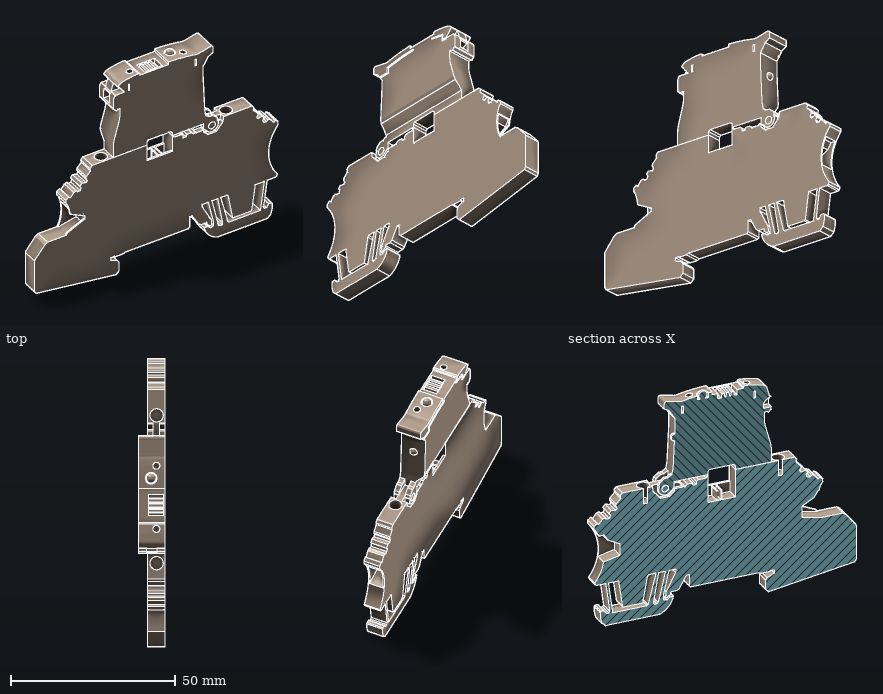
import cadquery as cq

HOUSING_WIDTH = 5.35
MODULE_OVERHANG = 2.7
DECK_Z = 44.5
CROWN_MID_Y = 5.6
END_Y = 43.9
FOOT_TOP = 14.4

ENTRY_SKIN = 0.4
ENTRY_BOTTOM, ENTRY_TOP = 21.85, 31.15
ENTRY_DEPTH = 5.3
FRONT_ARC_Y, REAR_ARC_Y = -31.1, 40.4
SCREW_HOLE_X = 2.8
SCREW_HOLE_Y = (26.6, -18.4)
SCREW_HOLE_RADIUS = 2.0
SCREW_HOLE_DEPTH = 5.3

HINGE_Y, HINGE_Z = 20.0, 42.8
HINGE_PIN_RADIUS = 1.2
LUG_RADIUS = 2.3
TONGUE_X0, TONGUE_X1 = 1.7, 3.7

WINDOW_Y0, WINDOW_Y1 = -3.3, 5.7
WINDOW_BOTTOM, WINDOW_TOP = 38.6, 46.15
WINDOW_CORNER = 0.5
WELL_FLOOR = 35.1
WELL_X0, WELL_X1 = 0.7, 4.65
WELL_RIB_TOP = 38.25
WELL_RIB_Y = (2.5, 1.05)
WELL_RIB_THICKNESS = 0.35

LED_X, LED_Y, LED_Z, LED_RADIUS = 1.1, 7.5, 72.2, 1.5
LED_HOLE_RADIUS = 1.75
LED_HOLE_FLOOR = 71.1
BUTTON_Y, BUTTON_Z, BUTTON_RADIUS = 16.85, 59.75, 1.2
TEST_HOLE_X = 2.7
TEST_HOLE_Y = (11.2, -8.0)
TEST_HOLE_RADIUS = 1.05
TEST_HOLE_DEPTH = 3.5
MODULE_TOP = 72.8
SWITCH_X0, SWITCH_X1 = 0.35, 4.8
SWITCH_Y0, SWITCH_Y1 = -3.9, 2.5
SWITCH_TOP = 71.8
SWITCH_DEPTH = 1.75
SWITCH_RIB_HEIGHT = 1.4
SWITCH_RIB_TOP_WIDTH, SWITCH_RIB_BASE_WIDTH = 0.9, 1.4
SWITCH_RIB_Y = (0.7, -0.9, -2.5)
LATCH_X0, LATCH_X1 = -0.3, 2.9
LATCH_CLEAR_Y = -15.8
COVER_LINE_Z = 67.55
SEAM_HEIGHT = 0.3
SEAM_DEPTH = 0.3
SLOT_TOP = 69.75


def plate(points, x0, x1):
    """Closed straight-sided YZ outline, extruded from x0 to x1."""
    return cq.Workplane("YZ", origin=(x0, 0, 0)).polyline(points).close().extrude(x1 - x0)


def block(x0, x1, y0, y1, z0, z1):
    """Box between pairs of X, Y and Z limits."""
    return cq.Workplane("XY").box(x1 - x0, y1 - y0, z1 - z0, centered=False).translate((x0, y0, z0))


def disc(y, z, radius, x0, x1):
    """Cylinder along X."""
    return cq.Workplane("YZ", origin=(x0, 0, 0)).center(y, z).circle(radius).extrude(x1 - x0)


def top_hole(x, y, radius, top, depth):
    """Vertical cylinder that reaches down from the given top."""
    return cq.Workplane("XY", origin=(x, y, top - depth)).circle(radius).extrude(depth)


SHOULDER = [
    (28.8, DECK_Z), (29.6, 43.6), (29.3, 42.6), (30.9, 41.1), (31.1, 40.5), (30.5, 39.5),
    (31.0, 38.9), (32.5, 39.2), (33.25, 38.3), (32.7, 37.6), (33.1, 36.7), (34.0, 36.6), (34.5, 37.1),
    (35.35, 36.85), (36.7, 35.3), (37.2, 35.8), (38.25, 35.0), (38.25, 33.95),
]


def housing_plate():
    """Side outline of the housing extruded over its width."""
    rear_shoulder = [(CROWN_MID_Y + d, z) for d, z in SHOULDER]
    front_shoulder = [(CROWN_MID_Y - d, z) for d, z in reversed(SHOULDER)]
    rail_foot = [
        (43.3, 14.65), (42.8, FOOT_TOP), (39.9, FOOT_TOP), (38.6, 4.8), (38.9, 4.2), (39.65, 4.2), (40.4, 5.35),
        (41.5, 5.35), (41.8, 5.0), (41.8, 3.25), (41.2, 1.1), (39.9, 0), (21.85, 0),
    ]
    foot_hook = [
        (17.2, 5.35), (18.4, 5.35), (19.5, 4.5), (20.5, 4.8), (20.5, 6.4), (18.7, FOOT_TOP), (16.6, FOOT_TOP),
        (16.6, 13.3),
    ]
    stop_finger = [
        (19.7, 7.5), (20.0, 5.35), (19.2, 5.35), (18.2, 6.1), (18.2, 6.9), (16.05, 6.9), (15.3, 7.5),
        (12.9, 11.5), (12.0, 11.5), (12.0, 7.7), (11.5, 7.2),
    ]
    rail_claw = [
        (-11.2, 7.2), (-12.0, 6.8), (-15.0, 6.8), (-15.0, 7.1), (-16.3, 7.1), (-16.4, 6.1),
        (-13.95, 5.1), (-13.4, 4.3), (-13.4, 1.1), (-14.5, 0),
    ]
    tail = [
        (-43.3, 4.1), (-END_Y, 5.0), (-END_Y, 16.6), (-43.6, 17.1), (-40.3, 21.1), (-39.2, ENTRY_BOTTOM),
        (-32.5, ENTRY_BOTTOM),
    ]
    stepped_edge = [
        (WINDOW_Y0, DECK_Z), (WINDOW_Y0, WINDOW_BOTTOM), (WINDOW_Y1, WINDOW_BOTTOM), (WINDOW_Y1, DECK_Z),
        (6.5, 43.6), (8.9, 43.6), (9.65, 43.1), (9.65, 42.1), (10.7, 42.1), (11.0, 42.9), (12.6, 42.9),
        (13.4, 42.1), (14.2, 42.4), (15.0, 43.6), (17.0, 43.7), (17.0, DECK_Z),
    ]
    outline = cq.Workplane("YZ").moveTo(*rear_shoulder[0])
    for point in rear_shoulder[1:] + [(43.3, 33.2)]:
        outline = outline.lineTo(*point)
    outline = outline.threePointArc((REAR_ARC_Y, 24.4), (43.6, 15.4))
    for point in rail_foot:
        outline = outline.lineTo(*point)
    outline = outline.threePointArc((18.95, 1.9), foot_hook[0])
    for point in foot_hook[1:] + stop_finger + rail_claw + tail:
        outline = outline.lineTo(*point)
    outline = outline.threePointArc((FRONT_ARC_Y, 27.2), (-31.9, 32.9))
    for point in front_shoulder + stepped_edge:
        outline = outline.lineTo(*point)
    return outline.close().extrude(HOUSING_WIDTH)


def foot_openings():
    """Gaps between the spring legs of the rail foot."""
    around_post = [
        (38.9, FOOT_TOP), (35.6, FOOT_TOP), (34.3, 5.35), (33.95, 5.1), (27.5, 5.1), (25.9, 13.9),
        (25.4, FOOT_TOP), (23.2, FOOT_TOP), (25.8, 4.3), (26.1, 4.0), (37.5, 4.0),
    ]
    between_legs = [(22.1, FOOT_TOP), (20.0, FOOT_TOP), (22.4, 4.3), (22.9, 3.95), (23.7, 3.95), (23.9, 4.6)]
    return plate(around_post, 0, HOUSING_WIDTH).union(plate(between_legs, 0, HOUSING_WIDTH))


def wire_entries():
    """Tapered pockets that open through the curved front and rear ends."""
    inner, outer = ENTRY_SKIN, HOUSING_WIDTH - ENTRY_SKIN
    taper = [
        (0, ENTRY_TOP), (1.3, 29.1), (ENTRY_DEPTH, 27.0), (ENTRY_DEPTH, 23.25), (-1.4, ENTRY_BOTTOM),
        (-3.5, ENTRY_BOTTOM), (-3.5, ENTRY_TOP),
    ]
    front = plate([(FRONT_ARC_Y + depth, z) for depth, z in taper], inner, outer)
    rear = plate([(REAR_ARC_Y - depth, z) for depth, z in taper], inner, outer)
    breakout = [(-1.75, 30.0), (ENTRY_DEPTH, 26.5), (ENTRY_DEPTH, 25.4), (-1.4, 22.4), (-1.75, 22.4)]
    notch = plate([(FRONT_ARC_Y + depth, z) for depth, z in breakout], inner, HOUSING_WIDTH)
    return front.union(rear).union(notch)


def window_well():
    """Recess in the window sill, crossed by thin ribs."""
    well = block(WELL_X0, WELL_X1, WINDOW_Y0, WINDOW_Y1, WELL_FLOOR, WINDOW_BOTTOM)
    for y in WELL_RIB_Y:
        well = well.cut(block(WELL_X0, WELL_X1, y, y + WELL_RIB_THICKNESS, WELL_FLOOR, WELL_RIB_TOP))
    return well


def hinge_slots():
    """Recesses for the lugs, either side of the central tongue."""
    recess = [
        (24.2, DECK_Z), (23.95, 42.6), (21.6, 39.9), (18.6, 39.9), (17.0, 41.4), (17.0, 42.2),
        (14.2, 42.2), (14.2, DECK_Z),
    ]
    return plate(recess, 0, TONGUE_X0).union(plate(recess, TONGUE_X1, HOUSING_WIDTH))


def make_housing():
    """Housing with its pockets, screw holes and hinge pin."""
    body = housing_plate().cut(foot_openings()).cut(wire_entries())
    body = body.cut(window_well()).cut(hinge_slots())
    for y in SCREW_HOLE_Y:
        body = body.cut(top_hole(SCREW_HOLE_X, y, SCREW_HOLE_RADIUS, DECK_Z, SCREW_HOLE_DEPTH))
    return body.union(disc(HINGE_Y, HINGE_Z, HINGE_PIN_RADIUS, 0, HOUSING_WIDTH))


def module_plate():
    """Side outline of the module extruded over its full width, widened to -X above a sloped shoulder."""
    hook = [(-13.2, 61.9), (-13.95, 61.9), (-14.5, 61.6), (-15.3, 62.5), (-15.4, 62.5), (-15.4, 66.15)]
    latch_end = [(-14.3, 69.3), (-13.95, 70.4)]
    top_recess = [(-6.0, 72.3), (-6.0, SWITCH_TOP), (4.4, SWITCH_TOP), (4.4, 72.7)]
    rear_end = [
        (20.4, 70.2), (18.7, 69.1), (17.9, 67.8), (16.85, 66.2), (16.85, 62.5), (17.5, 49.3), (17.9, 47.2),
        (17.9, DECK_Z),
    ]
    outline = cq.Workplane("YZ", origin=(-MODULE_OVERHANG, 0, 0)).moveTo(-15.5, DECK_Z).lineTo(-15.5, 48.3)
    outline = outline.threePointArc((-15.4, 49.7), (-15.2, 51.15)).lineTo(-13.5, 57.1)
    outline = outline.threePointArc((-13.25, 58.4), (-13.2, 59.75))
    for point in hook:
        outline = outline.lineTo(*point)
    outline = outline.threePointArc((-15.3, 66.85), (-14.8, 67.5))
    for point in latch_end:
        outline = outline.lineTo(*point)
    outline = outline.threePointArc((-13.1, 71.2), (-11.7, 71.8)).threePointArc((-9.1, 72.3), (-6.5, 72.55))
    for point in top_recess:
        outline = outline.lineTo(*point)
    outline = outline.threePointArc((8.9, 72.5), (13.3, 71.85)).threePointArc((14.2, 71.7), (15.1, 71.7))
    outline = outline.lineTo(19.2, 72.6).threePointArc((20.1, 72.55), (20.4, 72.0))
    for point in rear_end:
        outline = outline.lineTo(*point)
    body = outline.close().extrude(MODULE_OVERHANG + HOUSING_WIDTH)

    below_shoulder = (
        cq.Workplane("XZ", origin=(0, END_Y, 0))
        .polyline([
            (-MODULE_OVERHANG, DECK_Z), (0, DECK_Z), (0, 47.55), (-2.5, 50.45), (-MODULE_OVERHANG, 51.6),
        ])
        .close()
        .extrude(2 * END_Y)
    )
    return body.cut(below_shoulder)


def hinge_lugs():
    """Two lugs that straddle the housing tongue, each bored for the hinge pin."""
    arm = [
        (17.0, 47.4), (17.9, 47.2), (19.2, 46.4), (20.3, 46.4), (21.85, 45.2), (22.3, 44.1),
        (HINGE_Y, HINGE_Z), (18.4, 41.2), (17.0, 42.5),
    ]
    lugs = []
    for x0, x1 in ((0, TONGUE_X0), (TONGUE_X1, HOUSING_WIDTH)):
        lug = plate(arm, x0, x1).union(disc(HINGE_Y, HINGE_Z, LUG_RADIUS, x0, x1))
        lugs.append(lug.cut(disc(HINGE_Y, HINGE_Z, HINGE_PIN_RADIUS, x0, x1)))
    return lugs


def switch_recess():
    """Rectangular recess in the top with cross ribs standing on its floor."""
    floor = SWITCH_TOP - SWITCH_DEPTH
    recess = block(SWITCH_X0, SWITCH_X1, SWITCH_Y0, SWITCH_Y1, floor, SWITCH_TOP)
    for y in SWITCH_RIB_Y:
        base, crest = SWITCH_RIB_BASE_WIDTH / 2, SWITCH_RIB_TOP_WIDTH / 2
        crest_z = floor + SWITCH_RIB_HEIGHT
        rib = [(y - base, floor), (y - crest, crest_z), (y + crest, crest_z), (y + base, floor)]
        recess = recess.cut(plate(rib, SWITCH_X0, SWITCH_X1))
    return recess


def latch_cuts():
    """Undercuts beside the central latch strip, and the hollow below its nose."""
    undercut = [(-11.5, COVER_LINE_Z), (-13.9, 70.4), (LATCH_CLEAR_Y, 70.4), (LATCH_CLEAR_Y, COVER_LINE_Z)]
    cuts = plate(undercut, -MODULE_OVERHANG, LATCH_X0).union(plate(undercut, LATCH_X1, HOUSING_WIDTH))
    hollow = (
        cq.Workplane("YZ", origin=(LATCH_X0, 0, 0))
        .moveTo(LATCH_CLEAR_Y, 66.9)
        .lineTo(-15.0, 66.9)
        .lineTo(-14.8, 66.5)
        .threePointArc((-13.4, 65.7), (-12.8, 64.2))
        .lineTo(-12.8, 63.4)
        .lineTo(LATCH_CLEAR_Y, 63.4)
        .close()
        .extrude(LATCH_X1 - LATCH_X0)
    )
    return cuts.union(hollow)


def cover_seams():
    """Two through slots, and shallow seams on the -X face that run out from them."""
    rear_slot, front_slot = (13.95, 14.5), (-10.0, -9.65)
    x0, x1 = -MODULE_OVERHANG, HOUSING_WIDTH
    seam_x = x0 + SEAM_DEPTH
    cuts = block(x0, x1, *rear_slot, COVER_LINE_Z, SLOT_TOP)
    cuts = cuts.union(block(x0, x1, *front_slot, COVER_LINE_Z, SLOT_TOP))
    rear_clear_y = 18.4
    seam_z = (COVER_LINE_Z, COVER_LINE_Z + SEAM_HEIGHT)
    cuts = cuts.union(block(x0, seam_x, rear_slot[0], rear_clear_y, *seam_z))
    cuts = cuts.union(block(x0, seam_x, LATCH_CLEAR_Y, front_slot[1], *seam_z))
    rear_seam = [(14.5, 69.5), (14.5, SLOT_TOP), (7.9, 70.6), (3.1, 70.7), (3.1, 70.5), (7.9, 70.3)]
    front_seam = [(-10.0, 69.5), (-10.0, SLOT_TOP), (-5.2, 70.6), (-5.2, 70.45)]
    return cuts.union(plate(rear_seam, x0, seam_x)).union(plate(front_seam, x0, seam_x))


def window_head():
    """Upper part of the window, with chamfered corners."""
    top, c = WINDOW_TOP, WINDOW_CORNER
    opening = [
        (WINDOW_Y0, DECK_Z), (WINDOW_Y0, top - c), (WINDOW_Y0 + c, top), (WINDOW_Y1 - c, top),
        (WINDOW_Y1, top - c), (WINDOW_Y1, DECK_Z),
    ]
    return plate(opening, 0, HOUSING_WIDTH)


def make_module():
    """Plug-in module with its latch, switch, indicator, button and hinge lugs."""
    body = module_plate().cut(cover_seams()).cut(latch_cuts()).cut(switch_recess()).cut(window_head())
    for y in TEST_HOLE_Y:
        body = body.cut(top_hole(TEST_HOLE_X, y, TEST_HOLE_RADIUS, MODULE_TOP, TEST_HOLE_DEPTH))
    led_hole_depth = MODULE_TOP - LED_HOLE_FLOOR
    body = body.cut(top_hole(LED_X, LED_Y, LED_HOLE_RADIUS, MODULE_TOP, led_hole_depth))
    body = body.union(cq.Workplane("XY").sphere(LED_RADIUS).translate((LED_X, LED_Y, LED_Z)))
    body = body.union(cq.Workplane("XY").sphere(BUTTON_RADIUS).translate((LED_X, BUTTON_Y, BUTTON_Z)))
    for lug in hinge_lugs():
        body = body.union(lug)
    return body


housing = make_housing()
module = make_module()

result = cq.Compound.makeCompound([*housing.vals(), *module.vals()])